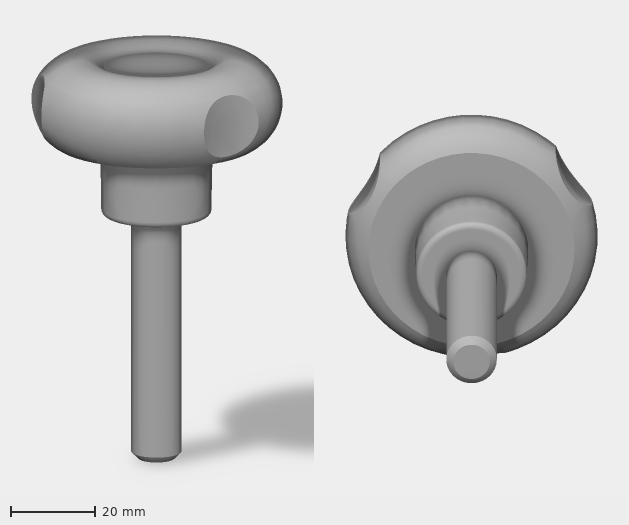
import cadquery as cq
import math

total_height = 98.5
head_height = 20.6
hub_height = 17.9
head_bottom = total_height - head_height
hub_bottom = head_bottom - hub_height

head_diameter = 60.0
head_radius = head_diameter / 2
ring_radius = 11.0
ring_center_radius = head_radius - ring_radius
ring_center_z = total_height - ring_radius

dish_radius = 12.5

scallop_count = 3
scallop_radius = 20.0
scallop_depth = 3.0
first_scallop_angle = 90.0

hub_top_radius = 13.5
hub_bottom_radius = 13.1
hub_fillet = 1.5

stud_diameter = 12.0
stud_chamfer = 1.7


def ring_offset(distance):
    """Other leg of the ring section at a given distance from its centre."""
    return math.sqrt(ring_radius**2 - distance**2)


def make_head():
    """Revolve the rounded grip section, flat underneath and dished on top."""
    dish_z = ring_center_z + ring_offset(ring_center_radius - dish_radius)
    flat_radius = ring_center_radius + ring_offset(ring_center_z - head_bottom)
    section = (
        cq.Workplane("XZ")
        .moveTo(0, head_bottom)
        .lineTo(flat_radius, head_bottom)
        .threePointArc((head_radius, ring_center_z), (dish_radius, dish_z))
        .lineTo(0, dish_z)
        .close()
    )
    return section.revolve(360, (0, 0), (0, 1))


def make_scallops():
    """Upright cylinders that bite into the rim at equal angles."""
    center_distance = head_radius - scallop_depth + scallop_radius
    return (
        cq.Workplane("XY")
        .workplane(offset=head_bottom)
        .polarArray(center_distance, first_scallop_angle, 360, scallop_count)
        .circle(scallop_radius)
        .extrude(head_height)
    )


def make_hub():
    """Slightly tapered hub with a rounded lower edge."""
    hub = (
        cq.Workplane("XY")
        .workplane(offset=hub_bottom)
        .circle(hub_bottom_radius)
        .workplane(offset=hub_height)
        .circle(hub_top_radius)
        .loft()
    )
    return hub.faces("<Z").edges().fillet(hub_fillet)


def make_stud():
    """Plain stud with a chamfered tip."""
    stud = cq.Workplane("XY").circle(stud_diameter / 2).extrude(hub_bottom)
    return stud.faces("<Z").edges().chamfer(stud_chamfer)


result = make_head().cut(make_scallops()).union(make_hub()).union(make_stud())